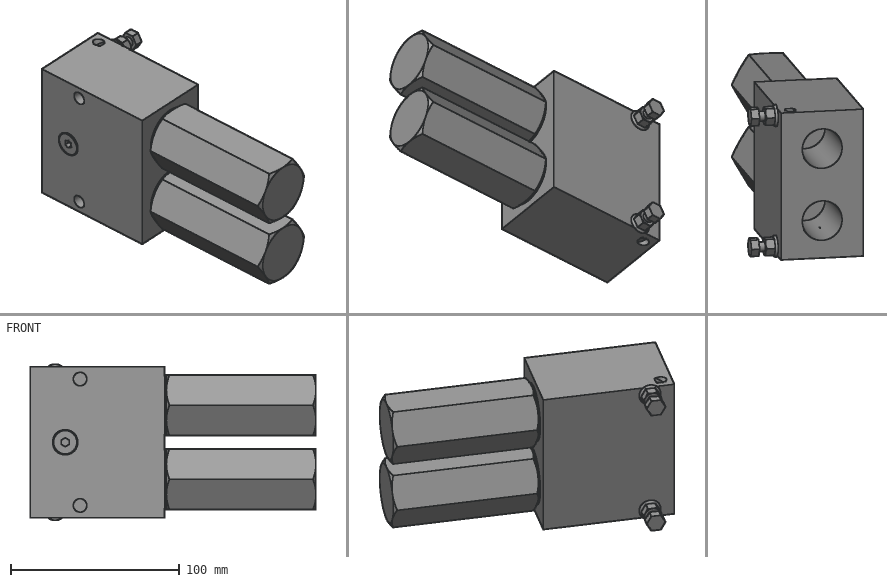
import cadquery as cq
import math

BLOCK_LENGTH = 80.0
BLOCK_DEPTH = 50.0
BLOCK_HEIGHT = 90.0

OVERALL_LENGTH = 170.0
CARTRIDGE_SPACING = 44.0
CARTRIDGE_FLATS = 36.0
COLLAR_DIAMETER = 35.0
COLLAR_LENGTH = 1.0
CARTRIDGE_CHAMFER = 1.7

PORT_DIAMETER = 24.1
PORT_DEPTH = 51.0

MOUNT_DIAMETER = 8.0
MOUNT_X = 29.8
MOUNT_SPACING = 75.1
MOUNT_DEPTH = 20.4

PLUG_X = 20.9
PLUG_DIAMETER = 15.0
PLUG_LENGTH = 8.5
PLUG_RIM_CHAMFER = 0.5
SOCKET_FLATS = 4.6
SOCKET_DEPTH = 4.2

SLANT_DIAMETER = 6.5
SLANT_X = 7.0
SLANT_Y = 43.0
SLANT_ANGLE = 30.0
SLANT_DEPTH = 1.62

SCREW_X = 15.0
SCREW_SPACING = 79.9
SCREW_FLATS = 10.0
SCREW_HEAD_LENGTH = 5.0
SCREW_TOTAL_LENGTH = 16.0
SHANK_DIAMETER = 6.0
NUT_LENGTH = 5.6
NUT_CHAMFER = 0.5
FLANGE_DIAMETER = 13.1
FLANGE_THICKNESS = 1.5
FLANGE_ROUNDING = 1.2

MIDDLE_Y = BLOCK_DEPTH / 2
SIDES = (1, -1)


def across_corners(flats):
    return flats / math.cos(math.pi / 6)


def front_plane(x, y, z):
    """Plane facing +Y, with its first axis along X."""
    return cq.Plane(origin=(x, y, z), xDir=(1, 0, 0), normal=(0, 1, 0))


def vertical_flat_hexagon(workplane, flats):
    """Hexagon with two flats parallel to the second axis of the workplane."""
    return workplane.transformed(rotate=(0, 0, 90)).polygon(6, across_corners(flats))


def turned_hexagon(workplane, flats, length, chamfered_ends, chamfer_length):
    """Hexagonal bar with its corners turned to a cone that meets the flats at the chosen ends."""
    corner_radius = across_corners(flats) / 2
    envelope = (
        workplane.circle(corner_radius)
        .extrude(length)
        .faces(chamfered_ends)
        .chamfer(chamfer_length, corner_radius - flats / 2)
    )
    return workplane.polygon(6, across_corners(flats)).extrude(length).intersect(envelope)


def slanted_hole(side):
    """Cutter entering the top (side 1) or bottom (side -1) face at an angle."""
    lean = math.radians(SLANT_ANGLE)
    axis = cq.Vector(math.sin(lean), 0, -side * math.cos(lean))
    entry = cq.Vector(SLANT_X, SLANT_Y, side * BLOCK_HEIGHT / 2)
    start = entry - axis * SLANT_DIAMETER
    return cq.Solid.makeCylinder(SLANT_DIAMETER / 2, SLANT_DIAMETER + SLANT_DEPTH, start, axis)


def plug_cylinder():
    """Full cylinder of the plug, which is also the shape of its seat."""
    return cq.Workplane(front_plane(PLUG_X, 0, 0)).circle(PLUG_DIAMETER / 2).extrude(PLUG_LENGTH)


def make_block():
    block = cq.Workplane("XY").box(BLOCK_LENGTH, BLOCK_DEPTH, BLOCK_HEIGHT, centered=(False, False, True))
    ports = (
        cq.Workplane("YZ")
        .pushPoints([(MIDDLE_Y, side * CARTRIDGE_SPACING / 2) for side in SIDES])
        .circle(PORT_DIAMETER / 2)
        .extrude(PORT_DEPTH)
    )
    mounting_holes = (
        cq.Workplane(front_plane(MOUNT_X, 0, 0))
        .pushPoints([(0, side * MOUNT_SPACING / 2) for side in SIDES])
        .circle(MOUNT_DIAMETER / 2)
        .extrude(MOUNT_DEPTH)
    )
    block = block.cut(ports).cut(mounting_holes).cut(plug_cylinder())
    for side in SIDES:
        block = block.cut(cq.Workplane(slanted_hole(side)))
    return block


def make_plug():
    plug = plug_cylinder().faces("<Y").chamfer(PLUG_RIM_CHAMFER)
    socket = vertical_flat_hexagon(cq.Workplane(front_plane(PLUG_X, 0, 0)), SOCKET_FLATS).extrude(SOCKET_DEPTH)
    return plug.cut(socket)


def make_cartridge(z):
    """Hexagonal bar on a round collar, both ends turned to a cone."""
    base = cq.Workplane("YZ", origin=(BLOCK_LENGTH, MIDDLE_Y, z))
    hex_length = OVERALL_LENGTH - BLOCK_LENGTH - COLLAR_LENGTH
    collar = base.circle(COLLAR_DIAMETER / 2).extrude(COLLAR_LENGTH)
    bar = turned_hexagon(
        base.workplane(offset=COLLAR_LENGTH), CARTRIDGE_FLATS, hex_length, "<X or >X", CARTRIDGE_CHAMFER
    )
    return collar.union(bar)


def make_bleed_screw(z):
    """Flanged nut, shank and hexagonal head in one piece."""
    flange = (
        cq.Workplane(front_plane(SCREW_X, BLOCK_DEPTH, z))
        .circle(FLANGE_DIAMETER / 2)
        .extrude(FLANGE_THICKNESS)
        .faces(">Y")
        .fillet(FLANGE_ROUNDING)
    )
    shank = (
        cq.Workplane(front_plane(SCREW_X, BLOCK_DEPTH, z)).circle(SHANK_DIAMETER / 2).extrude(SCREW_TOTAL_LENGTH)
    )
    nut_y = BLOCK_DEPTH + FLANGE_THICKNESS
    nut = turned_hexagon(
        cq.Workplane(front_plane(SCREW_X, nut_y, z)), SCREW_FLATS, NUT_LENGTH, ">Y", NUT_CHAMFER
    )
    head_y = BLOCK_DEPTH + SCREW_TOTAL_LENGTH - SCREW_HEAD_LENGTH
    head = (
        cq.Workplane(front_plane(SCREW_X, head_y, z))
        .polygon(6, across_corners(SCREW_FLATS))
        .extrude(SCREW_HEAD_LENGTH)
    )
    return flange.union(shank).union(nut).union(head)


block = make_block()
plug = make_plug()
cartridges = [make_cartridge(side * CARTRIDGE_SPACING / 2) for side in SIDES]
bleed_screws = [make_bleed_screw(side * SCREW_SPACING / 2) for side in SIDES]

result = cq.Compound.makeCompound(
    [block.val(), plug.val()]
    + [cartridge.val() for cartridge in cartridges]
    + [screw.val() for screw in bleed_screws]
)